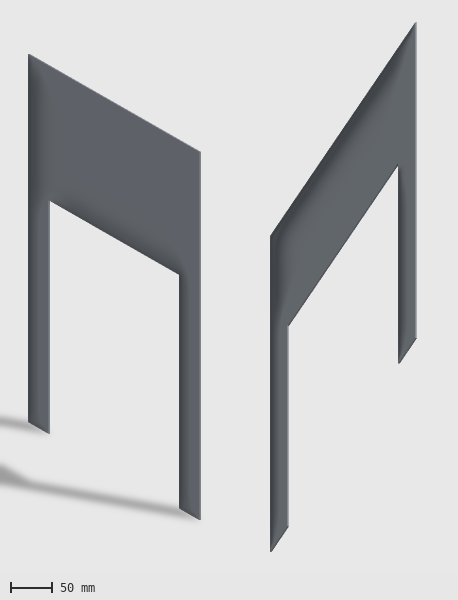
import cadquery as cq

width = 486.0
height = 455.0
thickness = 2.0

leg_width = 58.5
panel_height = 166.0
opening_width = width - 2 * leg_width
opening_height = height - panel_height

plate = cq.Workplane("XY").box(width, thickness, height, centered=(True, True, False))
opening = cq.Workplane("XY").box(opening_width, thickness, opening_height, centered=(True, True, False))

result = plate.cut(opening)